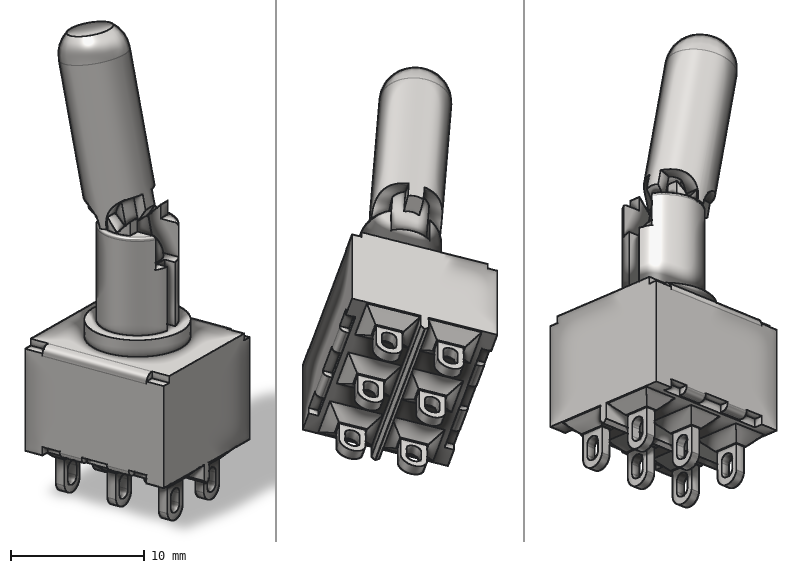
import cadquery as cq


case_x = 12.65
case_y = 11.43
case_height = 8.9
frame_width = 9.5
frame_thickness = 0.75
frame_end_gap = 0.7
corner_drop = 0.56
tab_width = 2.0
tab_offset = 2.15
tab_bend_start = 0.1
tab_bend_radius = 0.5

rib_thickness = 0.63
rib_depth = 1.6
rib_chamfer = 0.3

terminal_rows = (-2.415, 2.415)
terminal_columns = (-4.7, 0.0, 4.7)
terminal_width = 2.06
terminal_thickness = 0.8
terminal_reach = 12.94
tip_sagitta = 0.9
eyelet_width = 1.15
eyelet_length = 1.97
eyelet_top = 10.35
seal_x = 3.0
seal_y = 4.2
seal_depth = 0.98

collar_diameter = 8.0
collar_height = 1.36
bushing_diameter = 6.22
bushing_top = 9.32
bushing_rounding = 0.25
slot_width = 3.05
slot_floor = 6.58
keyway_width = 1.05
keyway_depth = 1.0

ear_width = 2.1
ear_circle = 5.44
ear_top = 10.45
notch_bottom = 9.4

ball_diameter = 4.2
ball_x = -0.15
ball_z = 6.4

lever_tilt = 11.9
pivot_z = 3.42
shaft_bottom = 2.0
shaft_diameter = 3.72
shaft_across_flats = 2.88
shaft_overlap = 1.0
sleeve_diameter = 5.44
sleeve_bottom = 6.1
sleeve_shoulder = 8.22
sleeve_top = 19.12
dome_height = 1.95
tip_diameter = 3.56
relief_radius = 2.05
wedge_half_width = 0.3
prong_width = 1.22
prong_outer_station = 7.02


def box_between(x_range, y_range, z_range):
    """Axis-aligned box from three (low, high) ranges."""
    x0, x1 = x_range
    y0, y1 = y_range
    z0, z1 = z_range
    return cq.Workplane("XY").box(x1 - x0, y1 - y0, z1 - z0, centered=False).translate((x0, y0, z0))


def make_case_side():
    """Cutter and bend tabs for the -Y side of the case."""
    face_y = -case_y / 2
    frame_y = face_y + frame_thickness
    half_frame = frame_width / 2
    frame_end = frame_end_gap - case_height
    bend_start = frame_end - tab_bend_start
    bend_end = bend_start - tab_bend_radius

    cutter = box_between((-half_frame, half_frame), (face_y, frame_y), (-case_height, frame_end))
    for x_range in ((-case_x / 2, -half_frame), (half_frame, case_x / 2)):
        cutter = cutter.union(box_between(x_range, (face_y, frame_y), (-corner_drop, 0)))
    bend_blank = box_between(
        (-half_frame, half_frame), (face_y, frame_y), (-frame_thickness, 0)
    )
    bend = (
        cq.Workplane("YZ")
        .center(frame_y, -frame_thickness)
        .circle(frame_thickness)
        .extrude(half_frame, both=True)
    )
    cutter = cutter.union(bend_blank.cut(bend))

    tabs = cq.Workplane("XY")
    for tab_x in (-tab_offset, tab_offset):
        tab = (
            cq.Workplane("YZ", origin=(tab_x, 0, 0))
            .moveTo(face_y, frame_end)
            .lineTo(face_y, bend_start)
            .radiusArc((face_y + tab_bend_radius, bend_end), -tab_bend_radius)
            .lineTo(frame_y, bend_end)
            .lineTo(frame_y, frame_end)
            .close()
            .extrude(tab_width / 2, both=True)
        )
        tabs = tabs.union(tab)
    return cutter, tabs


def make_case():
    case = box_between(
        (-case_x / 2, case_x / 2), (-case_y / 2, case_y / 2), (-case_height, 0)
    )
    cutter, tabs = make_case_side()
    for turn in (0, 180):
        case = case.cut(cutter.rotate((0, 0, 0), (0, 0, 1), turn))
        case = case.union(tabs.rotate((0, 0, 0), (0, 0, 1), turn))
    return case


def make_rib():
    half = rib_thickness / 2
    rib = box_between(
        (-case_x / 2, case_x / 2), (-half, half), (-case_height - rib_depth, -case_height)
    )
    return rib.edges("|X and <Z").chamfer(rib_chamfer)


def make_terminal():
    """One solder terminal with its tapered seal, centred on X = Y = 0."""
    taper = 2 * seal_depth
    seal = (
        cq.Workplane("XY", origin=(0, 0, -case_height))
        .rect(seal_x, seal_y)
        .workplane(offset=-seal_depth)
        .rect(seal_x - taper, seal_y - taper)
        .loft(ruled=True)
    )
    half_x = terminal_thickness / 2
    half_y = terminal_width / 2
    round_z = tip_sagitta - terminal_reach
    blade = (
        cq.Workplane("YZ")
        .moveTo(-half_y, -case_height)
        .lineTo(-half_y, round_z)
        .threePointArc((0, -terminal_reach), (half_y, round_z))
        .lineTo(half_y, -case_height)
        .close()
        .extrude(half_x, both=True)
    )
    eyelet = (
        cq.Workplane("YZ")
        .center(0, -eyelet_top - eyelet_length / 2)
        .slot2D(eyelet_length, eyelet_width, 90)
        .extrude(terminal_thickness, both=True)
    )
    return seal.union(blade).cut(eyelet)


def make_bushing():
    radius = bushing_diameter / 2
    barrel = cq.Workplane("XY").circle(radius).extrude(bushing_top)
    barrel = barrel.faces(">Z").edges().fillet(bushing_rounding)
    slot = box_between(
        (-radius, radius), (-slot_width / 2, slot_width / 2), (slot_floor, bushing_top)
    )
    keyway = box_between(
        (radius - keyway_depth, radius),
        (-keyway_width / 2, keyway_width / 2),
        (collar_height, slot_floor),
    )
    collar = cq.Workplane("XY").circle(collar_diameter / 2).extrude(collar_height)
    return barrel.cut(slot).cut(keyway).union(collar)


def make_ears():
    """Two V-notched ears standing on the bushing beside the slot."""
    half = ear_width / 2
    profile = (
        cq.Workplane("XZ")
        .moveTo(-half, slot_floor)
        .lineTo(half, slot_floor)
        .lineTo(half, ear_top)
        .lineTo(0, notch_bottom)
        .lineTo(-half, ear_top)
        .close()
        .extrude(ear_circle, both=True)
    )
    envelope = cq.Workplane("XY").circle(ear_circle / 2).extrude(ear_top)
    slot = box_between(
        (-half, half), (-slot_width / 2, slot_width / 2), (slot_floor, ear_top)
    )
    return profile.intersect(envelope).cut(slot)


def make_sleeve():
    """Domed sleeve whose lower end carries two wedges along Y."""
    radius = sleeve_diameter / 2
    tip_radius = tip_diameter / 2
    sleeve = (
        cq.Workplane("XZ")
        .moveTo(0, sleeve_bottom)
        .lineTo(radius, sleeve_bottom)
        .lineTo(radius, sleeve_top)
        .tangentArcPoint((tip_radius, sleeve_top + dome_height), relative=False)
        .lineTo(0, sleeve_top + dome_height)
        .close()
        .revolve(360, (0, 0, 0), (0, 1, 0))
    )
    relief = make_relief()
    return sleeve.cut(relief).cut(relief.mirror("YZ"))


def make_relief():
    """Cutter on the +X side of the sleeve end that leaves a wedge and a prong."""
    reach = sleeve_diameter
    relief_z = sleeve_shoulder - relief_radius
    relief_x = wedge_half_width + relief_radius
    relief = (
        cq.Workplane("XZ")
        .moveTo(wedge_half_width, 0)
        .lineTo(wedge_half_width, relief_z)
        .radiusArc((relief_x, sleeve_shoulder), relief_radius)
        .lineTo(reach, sleeve_shoulder)
        .lineTo(reach, 0)
        .close()
        .extrude(reach, both=True)
    )
    inner_station = prong_outer_station - sleeve_diameter / 2
    prong = (
        cq.Workplane("XZ")
        .moveTo(0, inner_station)
        .lineTo(reach, inner_station + reach)
        .lineTo(reach, sleeve_top)
        .lineTo(0, sleeve_top)
        .close()
        .extrude(prong_width / 2, both=True)
    )
    return relief.cut(prong)


def make_flats(half_size):
    """Slab between the two flats shared by the shaft and the ball."""
    half_flats = shaft_across_flats / 2
    return box_between(
        (-half_size, half_size), (-half_flats, half_flats), (-half_size, half_size)
    )


def make_ball():
    ball = cq.Workplane("XY").sphere(ball_diameter / 2)
    return ball.intersect(make_flats(ball_diameter)).translate((ball_x, 0, ball_z))


def make_lever():
    shaft = (
        cq.Workplane("XY", origin=(0, 0, shaft_bottom))
        .circle(shaft_diameter / 2)
        .extrude(sleeve_shoulder + shaft_overlap - shaft_bottom)
    )
    lever = make_sleeve().union(shaft.intersect(make_flats(sleeve_top)))
    return lever.rotate((0, 0, 0), (0, 1, 0), -lever_tilt).translate((0, 0, pivot_z))


result = make_case().union(make_rib())
terminal = make_terminal()
for column in terminal_columns:
    for row in terminal_rows:
        result = result.union(terminal.translate((column, row, 0)))
for feature in (make_bushing(), make_ears(), make_ball(), make_lever()):
    result = result.union(feature)